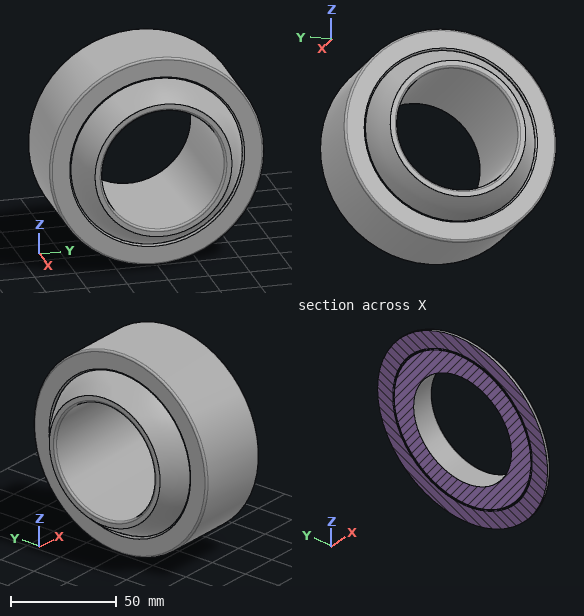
import cadquery as cq
import math


outer_diameter = 105.0
outer_width = 40.0
inner_width = 63.0
bore_diameter = 60.0
ball_radius = 46.0
edge_fillet = 1.0
seal_outer_radius = 42.8
seal_inner_radius = 42.0
seal_width = 2.2

outer_radius = outer_diameter / 2
bore_radius = bore_diameter / 2
outer_half = outer_width / 2
inner_half = inner_width / 2
seal_back = outer_half - seal_width
seal_nose_radius = seal_outer_radius - seal_inner_radius


def ball_radius_at(x):
    """Radius about the X axis of the ball surface at position x."""
    return math.sqrt(ball_radius**2 - x**2)


def ball_position_at(radius):
    """Position along X where the ball surface has the given radius about X."""
    return math.sqrt(ball_radius**2 - radius**2)


def turn(profile):
    """Revolve a closed profile a full turn about the X axis."""
    return profile.close().revolve(360, (0, 0, 0), (1, 0, 0))


def make_inner_ring():
    """Ball with flat ends and a through bore rounded at both mouths."""
    end_radius = ball_radius_at(inner_half)
    profile = (
        cq.Workplane("XZ")
        .moveTo(-inner_half, bore_radius)
        .lineTo(-inner_half, end_radius)
        .threePointArc((0, ball_radius), (inner_half, end_radius))
        .lineTo(inner_half, bore_radius)
    )
    ring = turn(profile)
    bore_mouths = cq.selectors.RadiusNthSelector(0)
    return ring.edges("%CIRCLE").edges(bore_mouths).fillet(edge_fillet)


def make_outer_ring():
    """Housing ring with a spherical seat and a stepped seal recess at each end."""
    seat_edge_radius = ball_radius_at(seal_back)
    profile = (
        cq.Workplane("XY")
        .moveTo(-outer_half, outer_radius)
        .lineTo(-outer_half, seal_outer_radius)
        .lineTo(-seal_back, seal_outer_radius)
        .lineTo(-seal_back, seat_edge_radius)
        .threePointArc((0, ball_radius), (seal_back, seat_edge_radius))
        .lineTo(seal_back, seal_outer_radius)
        .lineTo(outer_half, seal_outer_radius)
        .lineTo(outer_half, outer_radius)
    )
    ring = turn(profile)
    rim_edges = cq.selectors.RadiusNthSelector(-1)
    return ring.edges("%CIRCLE").edges(rim_edges).fillet(edge_fillet)


def make_seal(side):
    """Seal ring resting on the ball at one end (side is -1 or 1), with a fully rounded nose."""
    contact_start = ball_position_at(seal_inner_radius)
    contact_middle = (contact_start + seal_back) / 2
    profile = (
        cq.Workplane("XY")
        .moveTo(side * outer_half, seal_outer_radius)
        .radiusArc((side * (outer_half - seal_nose_radius), seal_inner_radius), side * seal_nose_radius)
        .lineTo(side * contact_start, seal_inner_radius)
        .threePointArc(
            (side * contact_middle, ball_radius_at(contact_middle)),
            (side * seal_back, ball_radius_at(seal_back)),
        )
        .lineTo(side * seal_back, seal_outer_radius)
    )
    return turn(profile)


inner_ring = make_inner_ring()
outer_ring = make_outer_ring()
seals = [make_seal(side) for side in (-1, 1)]

result = cq.Compound.makeCompound(
    [
        inner_ring.val(),
        outer_ring.val(),
        *[seal.val() for seal in seals],
    ]
)